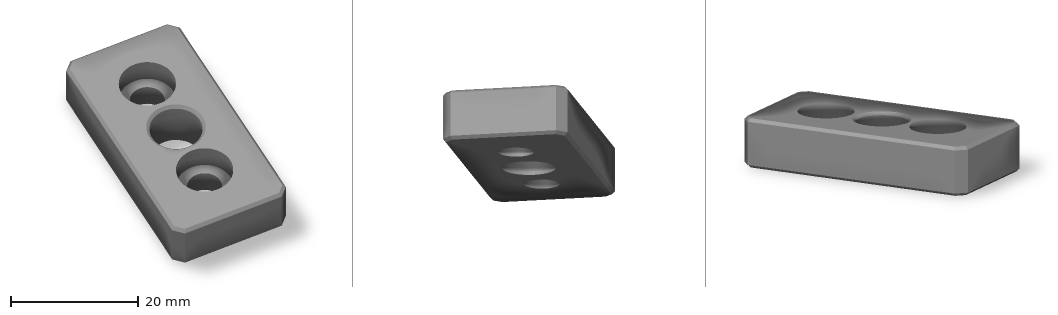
import cadquery as cq

length = 40.0
width = length / 2
height = length / 5
edge_chamfer = height / 16
corner_chamfer = 3 * edge_chamfer

center_hole_diameter = 8.35

screw_hole_spacing = length / 2
screw_hole_diameter = 5.5
counterbore_diameter = 9.0
counterbore_depth = height / 2


def make_block():
    """Block with cut vertical corners and chamfered top and bottom rims."""
    block = cq.Workplane("XY").box(length, width, height, centered=(True, True, False))
    block = block.edges("|Z").chamfer(corner_chamfer)
    return block.faces("<Z or >Z").edges().chamfer(edge_chamfer)


def make_center_hole():
    """Cutter for the central hole, with a 45 degree countersink at the top."""
    radius = center_hole_diameter / 2
    bore = cq.Workplane("XY").circle(radius).extrude(height)
    countersink = (
        cq.Workplane("XY", origin=(0, 0, height))
        .circle(radius + edge_chamfer)
        .extrude(-edge_chamfer, taper=45)
    )
    return bore.union(countersink)


def drill_screw_holes(block):
    """Cut one counterbored hole on each side of the center."""
    return (
        block.faces(">Z")
        .workplane(origin=(0, 0, height))
        .rarray(screw_hole_spacing, 0.4, 2, 1)
        .cboreHole(screw_hole_diameter, counterbore_diameter, counterbore_depth)
    )


result = drill_screw_holes(make_block()).cut(make_center_hole())